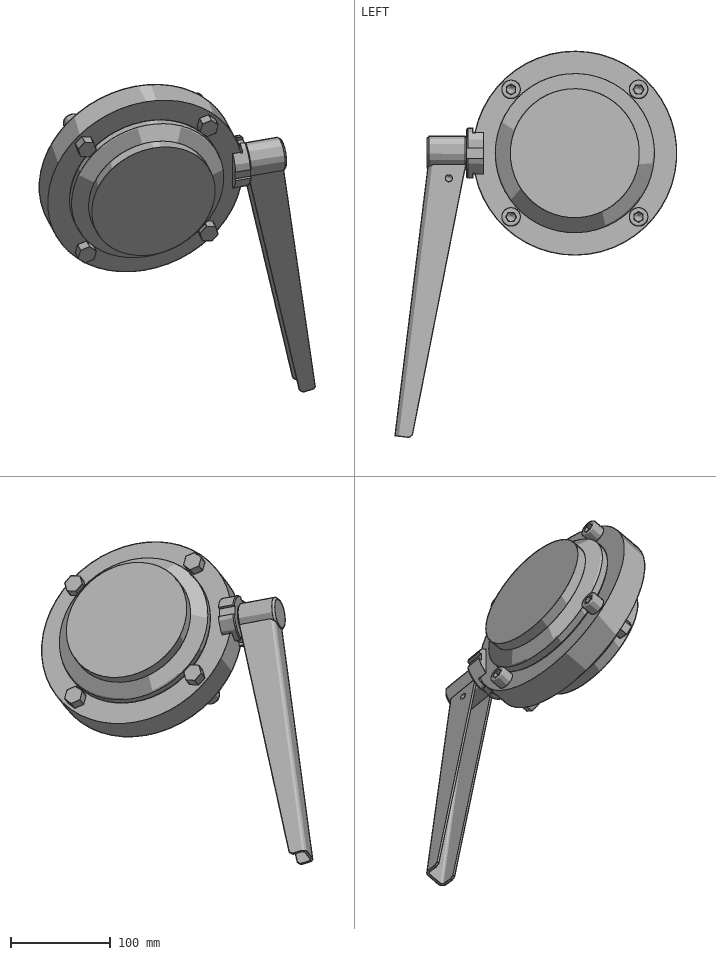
import cadquery as cq
import math

body_length = 86.0
flange_radius = 102.5
flange_width = 29.5
collar_radius = 80.0
collar_half_width = 24.5
collar_chamfer = 1.0
spigot_radius = 65.0
cone_end = 32.2

bolt_offset = 64.0
head_radius = 9.5
head_height = 13.0
head_fillet = 1.0
socket_flats = 9.5
socket_turn = 90
socket_depth = 7.8
socket_tip_depth = 2.7
nut_flats = 17.0
nut_turn = 75
nut_height = 10.5

stem_radius = 17.0
stem_end = 148.5
stem_tip_chamfer = 2.5
stem_root_chamfer = 1.5
cap_radius = 25.5
cap_notch_width = 10.5
cap_notch_depth = 4.0
cap_inner_end = 92.0
cap_outer_end = 108.5
cap_chamfer = 1.0

handle_length = 286.0
handle_tilt = 7.0
handle_web_y = 146.0
handle_width = 25.2
handle_wall = 2.52
handle_bend_radius = 5.5
root_depth = 38.0
tip_depth = 17.5
tip_chamfer = 3.0
pin_dimple_radius = 3.5
pin_dimple_depth = 2.0
pin_dimple_y = 126.5
pin_dimple_z = -25.2


def make_body():
    """Flange with a collar, a cone and a spigot on each side."""
    half_flange = flange_width / 2
    half_body = body_length / 2
    side = [
        (half_flange, flange_radius),
        (half_flange, collar_radius - collar_chamfer),
        (half_flange + collar_chamfer, collar_radius),
        (collar_half_width - collar_chamfer, collar_radius),
        (collar_half_width, collar_radius - collar_chamfer),
        (cone_end, spigot_radius),
        (half_body, spigot_radius),
        (half_body, 0),
    ]
    mirrored = [(-x, r) for x, r in reversed(side)]
    outline = cq.Workplane("XY").polyline(mirrored + side).close()
    return outline.revolve(360, (0, 0, 0), (1, 0, 0))


def make_hexagon(start, flats, height, turn):
    """Hexagonal bar running toward +X from x = start, turned about its axis."""
    hexagon = (
        cq.Workplane("YZ", origin=(start, 0, 0))
        .polygon(6, flats / math.cos(math.pi / 6))
        .extrude(height)
    )
    return hexagon.rotate((0, 0, 0), (1, 0, 0), turn)


def make_cone(base, depth, radius):
    """Cone pointing toward +X along the line through the base point."""
    return cq.Workplane("XY").add(
        cq.Solid.makeCone(radius, 0, depth, cq.Vector(*base), cq.Vector(1, 0, 0))
    )


def make_bolt():
    """Socket head on the -X face and hex nut on the +X face of the flange."""
    half_flange = flange_width / 2
    head_top = -half_flange - head_height
    head = (
        cq.Workplane("YZ", origin=(head_top, 0, 0))
        .circle(head_radius)
        .extrude(head_height)
        .faces("<X")
        .edges()
        .fillet(head_fillet)
    )
    socket = make_hexagon(head_top, socket_flats, socket_depth, socket_turn)
    socket_tip = make_cone((head_top + socket_depth, 0, 0), socket_tip_depth, socket_flats / 2)
    nut = make_hexagon(half_flange, nut_flats, nut_height, nut_turn)
    bolt = head.cut(socket).union(nut).translate((0, bolt_offset, bolt_offset))
    return bolt, socket_tip.translate((0, bolt_offset, bolt_offset))


def make_cap():
    """Round cap with four edge notches, slotted to straddle the flange rim."""
    length = cap_outer_end - cap_inner_end
    slot_depth = flange_radius - cap_inner_end
    cap = (
        cq.Workplane("XZ", origin=(0, cap_inner_end, 0))
        .circle(cap_radius)
        .extrude(-length)
        .faces(">Y")
        .edges()
        .chamfer(cap_chamfer)
    )
    slot = cq.Workplane("XY").box(flange_width, slot_depth, 2 * cap_radius)
    cap = cap.cut(slot.translate((0, cap_inner_end + slot_depth / 2, 0)))
    notch = cq.Workplane("XY").box(2 * cap_notch_depth, length, cap_notch_width)
    notch = notch.translate((cap_radius, cap_inner_end + length / 2, 0))
    for turn in range(4):
        cap = cap.cut(notch.rotate((0, 0, 0), (0, 1, 0), 90 * turn))
    return cap


def make_stem():
    """Round shaft end above the cap, chamfered at both ends."""
    return (
        cq.Workplane("XZ", origin=(0, cap_outer_end, 0))
        .circle(stem_radius)
        .extrude(cap_outer_end - stem_end)
        .faces(">Y")
        .chamfer(stem_tip_chamfer)
        .faces("<Y")
        .chamfer(stem_root_chamfer)
    )


def make_channel_block(width, back, bend_radius):
    """Bar along Z with its two long edges on the +Y side rounded."""
    bar = cq.Workplane("XY").box(width, 2 * root_depth, 3 * handle_length)
    bar = bar.translate((0, back - root_depth, 0))
    return bar.edges("|Z and >Y").fillet(bend_radius)


def make_handle():
    """Tapered U channel hanging from the stem and tilted outward."""
    outline = [
        (0, 0),
        (0, -handle_length),
        (tip_chamfer - tip_depth, -handle_length),
        (-tip_depth, tip_chamfer - handle_length),
        (-root_depth, 0),
    ]
    inner_width = handle_width - 2 * handle_wall
    channel = (
        cq.Workplane("YZ")
        .polyline(outline)
        .close()
        .extrude(handle_width / 2, both=True)
        .intersect(make_channel_block(handle_width, 0, handle_bend_radius))
        .cut(make_channel_block(inner_width, -handle_wall, handle_bend_radius - handle_wall))
    )
    handle = channel.rotate((0, 0, 0), (1, 0, 0), handle_tilt).translate((0, handle_web_y, 0))
    dimple_base = (-handle_width / 2, pin_dimple_y, pin_dimple_z)
    return handle.cut(make_cone(dimple_base, pin_dimple_depth, pin_dimple_radius))


def turned(part, quarter):
    """Part turned about the X axis by a number of quarter turns."""
    return part.rotate((0, 0, 0), (1, 0, 0), 90 * quarter)


result = make_body().union(make_cap()).union(make_stem()).union(make_handle())
bolt, socket_tip = make_bolt()
for quarter in range(4):
    result = result.union(turned(bolt, quarter)).cut(turned(socket_tip, quarter))